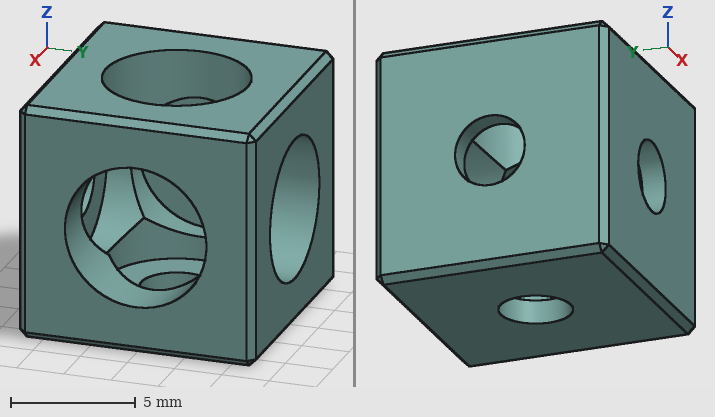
import cadquery as cq

side = 10.0
edge_chamfer = 0.3
hole_diameter = 3.0
counterbore_diameter = 6.0
floor_thickness = 1.0
counterbore_depth = side - floor_thickness


def cut_stepped_bore(body, face):
    """Cut a through hole with a counterbore entering from the given face."""
    return (
        body.faces(face)
        .workplane(centerOption="CenterOfBoundBox")
        .cboreHole(hole_diameter, counterbore_diameter, counterbore_depth)
    )


result = cq.Workplane("XY").box(side, side, side).edges().chamfer(edge_chamfer)
for open_face in (">X", ">Y", ">Z"):
    result = cut_stepped_bore(result, open_face)